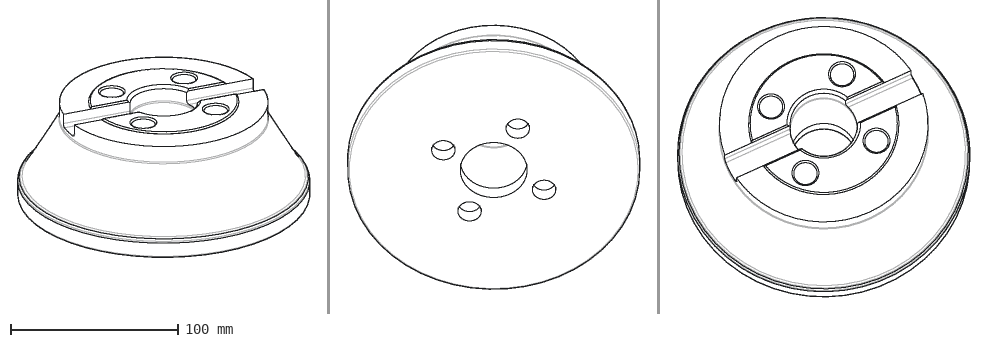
import cadquery as cq
import math

outer_diameter = 175.0
total_height = 63.0
outer_radius = outer_diameter / 2

rim_height = 9.8
rim_edge_fillet = 1.0

shoulder_height = 12.2
shoulder_diameter = 173.2
shoulder_bevel_foot = 10.5
neck_diameter = 125.0
cone_top = 51.1
cone_foot_radius = 85.2
corner_fillet = 2.0
cone_foot_fillet = 1.4
corner_tolerance = 0.02
boss_diameter = 90.0
boss_height = 1.0
boss_chamfer = 0.96
neck_top = total_height - boss_height
neck_radius = neck_diameter / 2

locating_diameter = 40.2
clearance_diameter = 40.0
locating_depth = 10.0
bore_taper_length = 1.0
bore_chamfer = 2.0

bolt_hole_diameter = 14.0
bolt_hole_chamfer = 1.0
bolt_hole_spacing = 47.2

slot_width = 16.1
slot_depth = 9.1
slot_floor = total_height - slot_depth


def revolve_profile(points):
    """Turn a closed (radius, height) outline about the Z axis."""
    return cq.Workplane("XZ").polyline(points).close().revolve(360, (0, 0, 0), (0, 1, 0))


def make_bore():
    """Cutter for the central bore, with its top chamfer."""
    locating_radius = locating_diameter / 2
    clearance_radius = clearance_diameter / 2
    taper_top = total_height - locating_depth
    return revolve_profile([
        (0, 0),
        (clearance_radius, 0),
        (clearance_radius, taper_top - bore_taper_length),
        (locating_radius, taper_top),
        (locating_radius, total_height - bore_chamfer),
        (locating_radius + bore_chamfer, total_height),
        (0, total_height),
    ])


def make_bolt_holes():
    """Cutters for the four bolt holes, with their top chamfers."""
    radius = bolt_hole_diameter / 2
    hole = revolve_profile([
        (0, 0),
        (radius, 0),
        (radius, total_height - bolt_hole_chamfer),
        (radius + bolt_hole_chamfer, total_height),
        (0, total_height),
    ])
    half = bolt_hole_spacing / 2
    return [hole.translate((x, y, 0)) for x in (-half, half) for y in (-half, half)]


def make_slot():
    """Cutter for the drive slot, with rounded floor corners."""
    return (
        cq.Workplane("XY")
        .workplane(offset=slot_floor)
        .rect(slot_width, outer_diameter)
        .extrude(slot_depth)
        .edges("|Y and <Z")
        .fillet(corner_fillet)
    )


def make_boss():
    """Two raised segments beside the slot, chamfered over nearly their full height."""
    base = cq.Workplane("XY").workplane(offset=neck_top)
    disc = base.circle(boss_diameter / 2).extrude(boss_height).faces(">Z").chamfer(boss_chamfer)
    half_gap = slot_width / 2
    half_gap_top = half_gap + boss_chamfer
    gap_profile = [
        (-half_gap, neck_top),
        (-half_gap_top, neck_top + boss_chamfer),
        (-half_gap_top, total_height),
        (half_gap_top, total_height),
        (half_gap_top, neck_top + boss_chamfer),
        (half_gap, neck_top),
    ]
    gap = cq.Workplane("XZ").polyline(gap_profile).close().extrude(outer_radius, both=True)
    return disc.cut(gap)


def fillet_corner(body, radius, height, fillet_radius):
    """Round the circular edge that has the given radius and height."""
    rims = [
        edge
        for edge in body.edges("%CIRCLE").vals()
        if math.hypot(edge.radius() - radius, edge.Center().z - height) < corner_tolerance
    ]
    return body.newObject(rims).fillet(fillet_radius)


def make_turned_blank():
    """Flange, cone and neck, with rounded corners at both ends of the cone and below the bevel."""
    blank = revolve_profile([
        (0, rim_height),
        (outer_radius, rim_height),
        (outer_radius, shoulder_bevel_foot),
        (shoulder_diameter / 2, shoulder_height),
        (cone_foot_radius, shoulder_height),
        (neck_radius, cone_top),
        (neck_radius, neck_top),
        (0, neck_top),
    ])
    blank = fillet_corner(blank, outer_radius, shoulder_bevel_foot, corner_fillet)
    blank = fillet_corner(blank, cone_foot_radius, shoulder_height, cone_foot_fillet)
    return fillet_corner(blank, neck_radius, cone_top, corner_fillet)


def cut_holes(body):
    """Take the central bore and the bolt holes out of a body."""
    body = body.cut(make_bore())
    for bolt_hole in make_bolt_holes():
        body = body.cut(bolt_hole)
    return body


def make_cup():
    """Upper body with the slotted, bossed mounting face."""
    return cut_holes(make_turned_blank().union(make_boss()).cut(make_slot()))


def make_rim():
    """Lower disc carrying on the outer diameter and all the holes."""
    disc = cq.Workplane("XY").circle(outer_radius).extrude(rim_height)
    return cut_holes(disc.faces("<Z").edges().fillet(rim_edge_fillet))


cup = make_cup()
rim = make_rim()

result = cq.Compound.makeCompound([cup.val(), rim.val()])